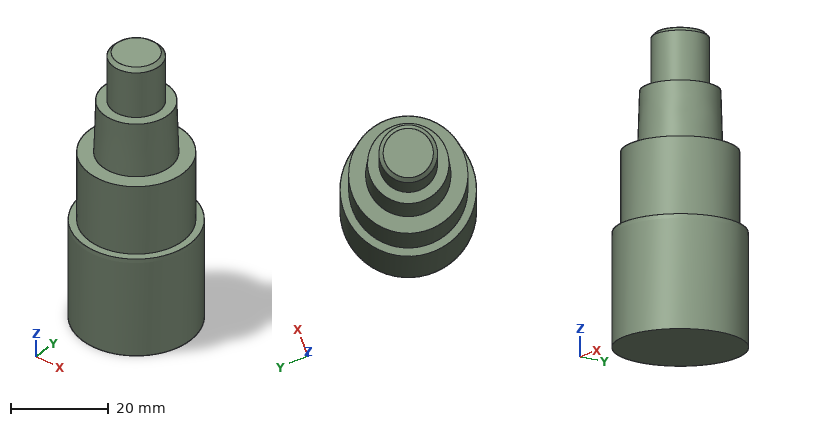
import cadquery as cq

total_height = 66.75
base_top = 24.5
housing_top = 41.6
taper_top = 54.6

base_radius = 14.0
neck_radius = 12.2
lead_in_height = 1.0
lead_in_depth = 0.1

taper_bottom_radius = 8.75
taper_top_radius = 8.35
shank_radius = 6.0
tip_chamfer = 0.9


def revolve_profile(points):
    """Turn a closed (radius, height) outline about the Z axis."""
    return cq.Workplane("XZ").polyline(points).close().revolve(360, (0, 0), (0, 1))


def make_housing():
    """Solid stepped housing with a slight lead-in taper at the top of its base."""
    return revolve_profile([
        (0, 0),
        (base_radius, 0),
        (base_radius, base_top - lead_in_height),
        (base_radius - lead_in_depth, base_top),
        (neck_radius, base_top),
        (neck_radius, housing_top),
        (0, housing_top),
    ])


def make_stud():
    """Tapered stud with a straight, chamfered shank, seated on the housing."""
    return revolve_profile([
        (0, housing_top),
        (taper_bottom_radius, housing_top),
        (taper_top_radius, taper_top),
        (shank_radius, taper_top),
        (shank_radius, total_height - tip_chamfer),
        (shank_radius - tip_chamfer, total_height),
        (0, total_height),
    ])


housing = make_housing()
stud = make_stud()
result = cq.Compound.makeCompound([housing.val(), stud.val()])